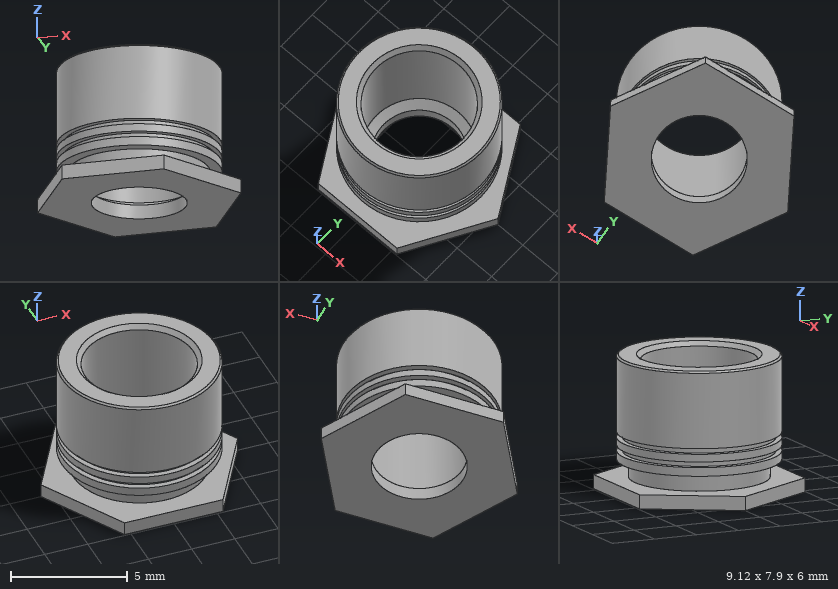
import cadquery as cq
import math

hex_across_corners = 9.12
flange_thickness = 0.63

total_height = 6.0
barrel_diameter = 7.12
neck_diameter = 6.1
groove_diameter = 6.61
rim_chamfer = 0.08

neck_top = 1.395
lower_rib_top = 1.78
lower_groove_top = 2.025
upper_rib_top = 2.36
upper_groove_top = 2.61

bore_diameter = 5.0
mouth_diameter = 5.4
through_diameter = 4.12
cone_half_angle = 60.0
cone_bottom = flange_thickness


def cylinder(diameter, bottom, top):
    """Vertical cylinder between two heights."""
    return cq.Workplane("XY").workplane(offset=bottom).circle(diameter / 2).extrude(top - bottom)


def make_flange():
    return cq.Workplane("XY").polygon(6, hex_across_corners).extrude(flange_thickness)


def make_barrel():
    sections = [
        (neck_diameter, neck_top),
        (barrel_diameter, lower_rib_top),
        (groove_diameter, lower_groove_top),
        (barrel_diameter, upper_rib_top),
        (groove_diameter, upper_groove_top),
    ]
    plain_barrel = cylinder(barrel_diameter, upper_groove_top, total_height)
    barrel = plain_barrel.faces(">Z").edges().chamfer(rim_chamfer)
    bottom = flange_thickness
    for diameter, top in sections:
        barrel = barrel.union(cylinder(diameter, bottom, top))
        bottom = top
    return barrel


def make_bore():
    """Revolved cavity with a 45-degree mouth and a conical step to the through hole."""
    through_radius = through_diameter / 2
    bore_radius = bore_diameter / 2
    mouth_radius = mouth_diameter / 2
    cone_height = (bore_radius - through_radius) / math.tan(math.radians(cone_half_angle))
    mouth_depth = mouth_radius - bore_radius
    profile = [
        (0, 0),
        (through_radius, 0),
        (through_radius, cone_bottom),
        (bore_radius, cone_bottom + cone_height),
        (bore_radius, total_height - mouth_depth),
        (mouth_radius, total_height),
        (0, total_height),
    ]
    return cq.Workplane("XZ").polyline(profile).close().revolve(360, (0, 0, 0), (0, 1, 0))


result = make_flange().union(make_barrel()).cut(make_bore())